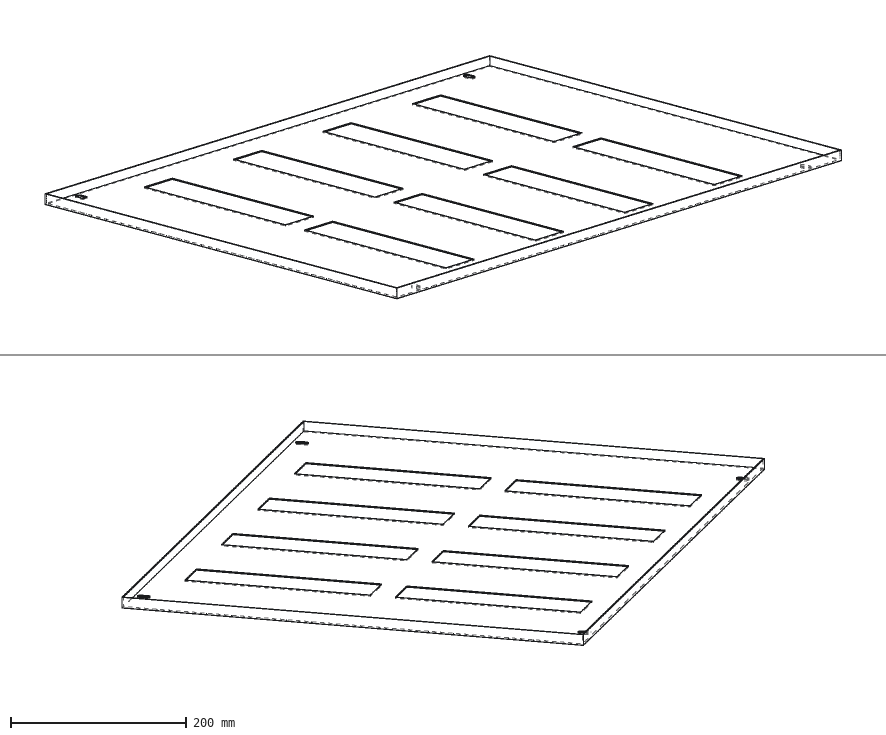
import cadquery as cq

width = 549.0
length = 746.5
height = 13.0
sheet = 1.5

window_width = 220.0
window_height = 47.0
column_pitch = 250.0
row_pitch = 150.0
column_count = 2
row_count = 4

slot_length = 15.0
slot_width = 8.0
slot_x = 262.0
slot_y = 325.5


def make_tray():
    """Flat panel with an upturned rim along all four sides."""
    outer = cq.Workplane("XY").box(width, length, height, centered=(True, True, False))
    cavity = (
        cq.Workplane("XY", origin=(0, 0, sheet))
        .box(width - 2 * sheet, length - 2 * sheet, height, centered=(True, True, False))
    )
    return outer.cut(cavity)


def make_windows():
    """Centred grid of cutters for the rectangular windows."""
    return (
        cq.Workplane("XY")
        .rarray(column_pitch, row_pitch, column_count, row_count)
        .rect(window_width, window_height)
        .extrude(height)
    )


def make_slots():
    """Round-ended cutters for the four mounting slots."""
    return (
        cq.Workplane("XY")
        .rarray(2 * slot_x, 2 * slot_y, 2, 2)
        .slot2D(slot_length, slot_width)
        .extrude(height)
    )


result = make_tray().cut(make_windows()).cut(make_slots())